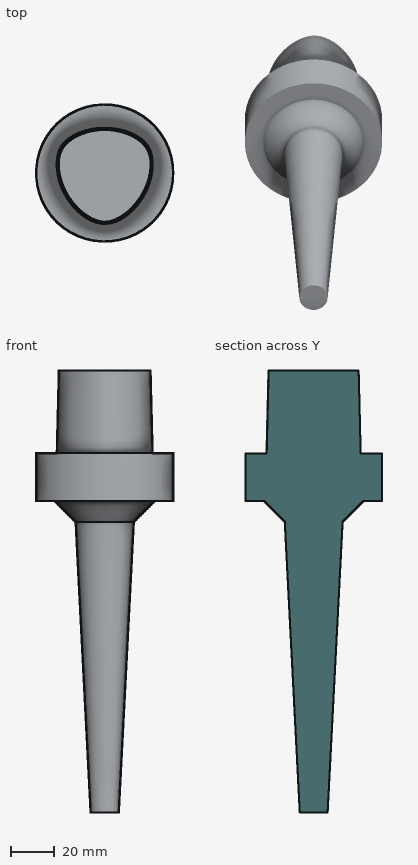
import cadquery as cq
import math

total_length = 203.0
shank_length = 38.0
flange_height = 22.0
collar_height = 9.5

flange_diameter = 63.0
neck_diameter = 26.8
tip_diameter = 13.0
collar_diameter = neck_diameter + 2 * collar_height

shank_base_width = 44.1
shank_taper = 1 / 20
lobe_eccentricity = 1.3
curve_point_count = 48

shank_end_width = shank_base_width - shank_taper * shank_length
tip_z = shank_length - total_length


def lobed_point(width, angle):
    """Point on a three-lobed constant-width curve; angle 0 is the lobe on -Y."""
    radius = width / 2
    along_lobe = (
        radius * math.cos(angle)
        + 2 * lobe_eccentricity * math.cos(2 * angle)
        - lobe_eccentricity * math.cos(4 * angle)
    )
    across_lobe = (
        radius * math.sin(angle)
        - 2 * lobe_eccentricity * math.sin(2 * angle)
        - lobe_eccentricity * math.sin(4 * angle)
    )
    return (across_lobe, -along_lobe)


def lobed_points(width):
    step = 2 * math.pi / curve_point_count
    return [lobed_point(width, i * step) for i in range(curve_point_count)]


def make_round_body():
    """Flange, 45 degree collar and long tapered stem, revolved about Z."""
    collar_top_z = -flange_height
    neck_z = collar_top_z - collar_height
    profile = [
        (0, 0),
        (flange_diameter / 2, 0),
        (flange_diameter / 2, collar_top_z),
        (collar_diameter / 2, collar_top_z),
        (neck_diameter / 2, neck_z),
        (tip_diameter / 2, tip_z),
        (0, tip_z),
    ]
    half_section = cq.Workplane("XZ").polyline(profile).close()
    return half_section.revolve(360, (0, 0, 0), (0, 1, 0))


def make_shank():
    """Tapered polygon shank standing on the flange."""
    return (
        cq.Workplane("XY")
        .spline(lobed_points(shank_base_width), periodic=True)
        .close()
        .workplane(offset=shank_length)
        .spline(lobed_points(shank_end_width), periodic=True)
        .close()
        .loft(ruled=True, combine=True)
    )


result = make_round_body().union(make_shank())